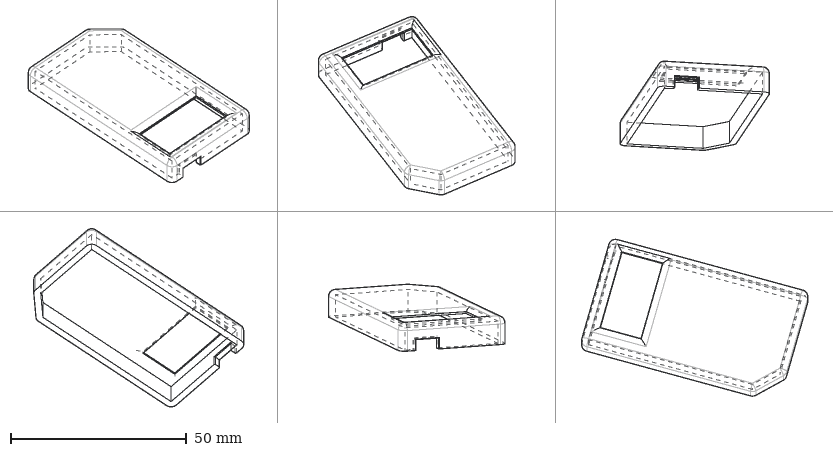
import cadquery as cq
import math

LENGTH = 58.8
WIDTH = 32.45
HEIGHT = 8.0
CORNER_CUT = 7.5
EDGE_RADIUS = 2.0

WALL = 2.0
ROOF = 1.5

WINDOW_X_MIN = 42.5
WINDOW_X_MAX = 54.5
WINDOW_Y_MIN = 3.4
WINDOW_Y_MAX = 26.2
LEDGE = 0.1
RIM_WIDTH = 2.0
RIM_DROP = 1.0
RIM_RADIUS = (RIM_WIDTH**2 + RIM_DROP**2) / (2 * RIM_DROP)

SLOT_Y_MIN = 4.7
SLOT_Y_MAX = 11.6
SLOT_HEIGHT = 3.1
SLOT_CHAMFER = 0.25


def cut_corner_prism(inset, height):
    """Prism of the cover outline, moved inward by the inset."""
    low = inset
    x_max = LENGTH - inset
    y_max = WIDTH - inset
    cut = CORNER_CUT - inset * (2 - math.sqrt(2))
    outline = [
        (low, low),
        (x_max, low),
        (x_max, y_max),
        (low + cut, y_max),
        (low, y_max - cut),
    ]
    return cq.Workplane("XY").polyline(outline).close().extrude(height)


def box_between(x_min, x_max, y_min, y_max, z_min, z_max):
    size = (x_max - x_min, y_max - y_min, z_max - z_min)
    return cq.Workplane("XY").box(*size, centered=False).translate((x_min, y_min, z_min))


def window_block(margin, z_min, z_max):
    """Block over the window opening, grown sideways by the margin."""
    return box_between(
        WINDOW_X_MIN - margin,
        WINDOW_X_MAX + margin,
        WINDOW_Y_MIN - margin,
        WINDOW_Y_MAX + margin,
        z_min,
        z_max,
    )


def window_cutter():
    """Straight opening that flares along a convex arc to the top face."""
    rim_margin = LEDGE + RIM_WIDTH
    rim_floor = HEIGHT - RIM_DROP
    well_depth = 2 * RIM_RADIUS
    well_floor = HEIGHT - well_depth
    well = window_block(rim_margin - RIM_RADIUS, well_floor, HEIGHT)
    plate = box_between(0, 2 * LENGTH, -WIDTH, 2 * WIDTH, well_floor, HEIGHT).cut(well)
    well_mouth = cq.selectors.BoxSelector(
        (WINDOW_X_MIN - rim_margin, WINDOW_Y_MIN - rim_margin, rim_floor),
        (WINDOW_X_MAX + rim_margin, WINDOW_Y_MAX + rim_margin, HEIGHT + RIM_DROP),
    )
    rounded_plate = plate.faces(">Z").edges(well_mouth).fillet(RIM_RADIUS)
    flare = window_block(rim_margin, rim_floor, HEIGHT).cut(rounded_plate)
    return window_block(0, HEIGHT - ROOF, HEIGHT).union(flare)


def chamfer_slot_mouth(part, wall_x):
    """Break the two upright edges and the top edge of the slot on one wall face."""
    mouth = cq.selectors.BoxSelector(
        (wall_x - WALL / 4, SLOT_Y_MIN - SLOT_CHAMFER, SLOT_CHAMFER),
        (wall_x + WALL / 4, SLOT_Y_MAX + SLOT_CHAMFER, SLOT_HEIGHT + SLOT_CHAMFER),
    )
    return part.edges(mouth).chamfer(SLOT_CHAMFER)


body = cut_corner_prism(0, HEIGHT).edges("|Z").fillet(EDGE_RADIUS)
body = body.faces(">Z").edges().fillet(EDGE_RADIUS)
cavity = cut_corner_prism(WALL, HEIGHT - ROOF)
slot = box_between(LENGTH - WALL, LENGTH, SLOT_Y_MIN, SLOT_Y_MAX, 0, SLOT_HEIGHT)

result = body.cut(cavity).cut(window_cutter()).cut(slot)
for slot_face_x in (LENGTH - WALL, LENGTH):
    result = chamfer_slot_mouth(result, slot_face_x)